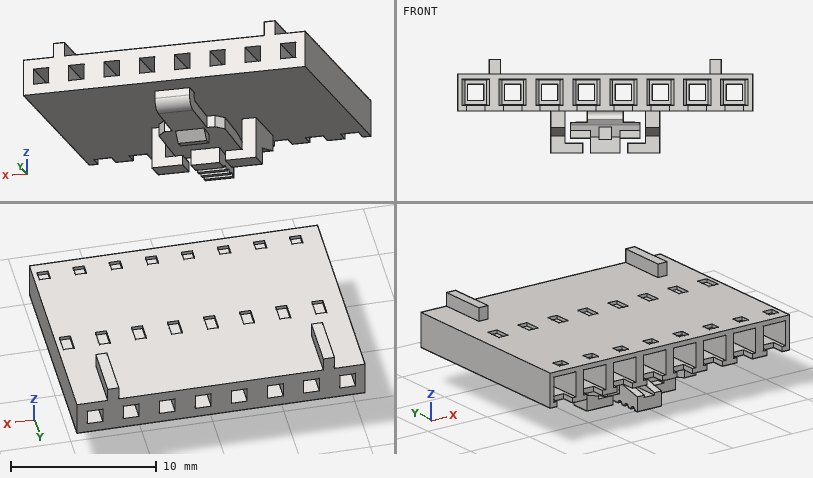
import cadquery as cq
import math

body_width = 20.29
body_length = 15.24
body_height = 2.57

contact_count = 8
pitch = 2.54
contact_row_shift = -0.02
cavity_width = 1.87
cavity_floor = 0.38
cavity_roof = 2.21
cavity_depth = 10.0
taper_depth = 0.22
taper_side = 0.2
taper_height = 0.07
pin_hole_size = 1.1
floor_slot_width = 1.28
floor_slot_depth = 1.02

window_width = 0.77
window_offset = 0.53
window_depth = 0.25
front_window_start = 0.83
rear_window_start = 7.94
rear_window_length = 1.32

rib_width = 0.78
rib_length = 3.82
rib_height = 0.99
rib_spacing = 15.18

leg_drop = 2.89
leg_outer = 3.75
leg_width = 0.99
leg_front = 2.13
leg_back = 6.09
foot_front = 4.56
foot_inner = 1.54
foot_height = 0.69
leg_lip_height = 1.11
leg_undercut_top = 1.72

stem_back = 13.4
stem_front = 12.36
beam_slope = math.radians(3.5)
beam_thickness = 0.82
beam_width = 2.5
inner_bend_radius = 0.37
inner_bend_drop = 0.22
outer_bend_radius = 0.85
ramp_start = 6.1
ramp_slope = math.radians(12.8)
paddle_width = 4.78
paddle_back = 9.4
paddle_front = 4.5
paddle_chamfer = 0.57

grip_width = 2.05
grip_front = 2.42
grip_back = 5.8
groove_radius = 0.22
groove_pitch = 0.755
groove_count = 3
first_groove = 2.95
notch_width = 0.85
notch_back = 5.45
notch_floor = 1.96

catch_drop = 2.27
catch_back = 9.35
catch_tip_back = 8.72
catch_front = 8.18


def box(x_range, y_range, z_range):
    """Box between two limits on each axis."""
    size = [high - low for low, high in (x_range, y_range, z_range)]
    return cq.Workplane("XY").box(*size, centered=False).translate((x_range[0], y_range[0], z_range[0]))


def centred_box(width, y_range, z_range, x_centre=0.0):
    """Box of the given width about an X position."""
    return box((x_centre - width / 2, x_centre + width / 2), y_range, z_range)


def side_profile(points, width):
    """Closed (Y, Z) outline extruded symmetrically about X = 0."""
    return cq.Workplane("YZ").polyline(points).close().extrude(width / 2, both=True)


def contact_cavity(x):
    """Front cavity with a tapered end, a rear pin hole and a slot in its floor."""
    middle = (cavity_floor + cavity_roof) / 2
    height = cavity_roof - cavity_floor
    cavity = centred_box(cavity_width, (0, cavity_depth), (cavity_floor, cavity_roof), x)
    taper = (
        cq.Workplane("XZ", origin=(x, cavity_depth, middle))
        .rect(cavity_width, height)
        .workplane(offset=-taper_depth)
        .rect(cavity_width - 2 * taper_side, height - 2 * taper_height)
        .loft()
    )
    half_hole = pin_hole_size / 2
    pin_hole = centred_box(
        pin_hole_size, (cavity_depth, body_length), (middle - half_hole, middle + half_hole), x
    )
    floor_slot = centred_box(floor_slot_width, (0, floor_slot_depth), (0, middle), x)
    return cavity.union(taper).union(pin_hole).union(floor_slot)


def top_windows(x):
    """Front and rear window pockets belonging to one contact."""
    z_range = (body_height - window_depth, body_height)
    centre = x + window_offset
    front_end = front_window_start + window_width
    rear_end = rear_window_start + rear_window_length
    front = centred_box(window_width, (front_window_start, front_end), z_range, centre)
    rear = centred_box(window_width, (rear_window_start, rear_end), z_range, centre)
    return front.union(rear)


def housing():
    """Body with all contact openings and the two polarising ribs."""
    body = centred_box(body_width, (0, body_length), (0, body_height))
    for index in range(contact_count):
        x = (index - (contact_count - 1) / 2) * pitch + contact_row_shift
        body = body.cut(contact_cavity(x)).cut(top_windows(x))
    for side in (-1, 1):
        rib = centred_box(
            rib_width,
            (body_length - rib_length, body_length),
            (body_height, body_height + rib_height),
            side * rib_spacing / 2,
        )
        body = body.union(rib)
    return body


def left_leg():
    """Guide leg with an undercut front lip and a foot turned inwards."""
    outline = [
        (leg_front, 0),
        (leg_front, -leg_lip_height),
        (foot_front, -leg_undercut_top),
        (foot_front, -leg_drop),
        (leg_back, -leg_drop),
        (leg_back, 0),
    ]
    leg_centre = -leg_outer + leg_width / 2
    leg = side_profile(outline, leg_width).translate((leg_centre, 0, 0))
    foot = box((-leg_outer, -foot_inner), (foot_front, leg_back), (-leg_drop, foot_height - leg_drop))
    return leg.union(foot)


bend_y = stem_front - inner_bend_radius
bend_z = -inner_bend_drop
bend_end_y = bend_y + inner_bend_radius * math.sin(beam_slope)
bend_end_z = bend_z - inner_bend_radius * math.cos(beam_slope)


def beam_top(y):
    """Height of the upper beam face, which bends down steeper near its free end."""
    if y >= ramp_start:
        return bend_end_z - (bend_end_y - y) * math.tan(beam_slope)
    return beam_top(ramp_start) - (ramp_start - y) * math.tan(ramp_slope)


def beam_bottom(y):
    """Height of the straight lower beam face."""
    return bend_end_z - (bend_end_y - y) * math.tan(beam_slope) - beam_thickness / math.cos(beam_slope)


def latch_beam():
    """Curved stem and sloping beam, up to the front of the paddle."""
    inner_start_y = bend_y + math.sqrt(inner_bend_radius**2 - inner_bend_drop**2)
    beam = (
        cq.Workplane("YZ")
        .moveTo(stem_back, 0)
        .lineTo(inner_start_y, 0)
        .threePointArc((stem_front, bend_z), (bend_end_y, bend_end_z))
        .lineTo(ramp_start, beam_top(ramp_start))
        .lineTo(paddle_front, beam_top(paddle_front))
        .lineTo(paddle_front, beam_bottom(paddle_front))
        .lineTo(stem_back, beam_bottom(stem_back))
        .close()
        .extrude(beam_width / 2, both=True)
    )
    corner = cq.selectors.NearestToPointSelector((0, stem_back, beam_bottom(stem_back)))
    return beam.edges("|X").edges(corner).fillet(outer_bend_radius)


def paddle():
    """Widened end of the beam with bevelled rear corners."""
    outline = [
        (paddle_back, beam_top(paddle_back)),
        (ramp_start, beam_top(ramp_start)),
        (paddle_front, beam_top(paddle_front)),
        (paddle_front, beam_bottom(paddle_front)),
        (paddle_back, beam_bottom(paddle_back)),
    ]
    half = paddle_width / 2
    plan = (
        cq.Workplane("XY")
        .polyline([
            (-half, paddle_front),
            (half, paddle_front),
            (half, paddle_back - paddle_chamfer),
            (half - paddle_chamfer, paddle_back),
            (paddle_chamfer - half, paddle_back),
            (-half, paddle_back - paddle_chamfer),
        ])
        .close()
        .extrude(-leg_drop)
    )
    return side_profile(outline, paddle_width).intersect(plan)


def thumb_grip():
    """Grip block with a ramped top, a notch and finger grooves underneath."""
    grip = side_profile(
        [
            (grip_front, beam_top(grip_front)),
            (grip_back, beam_top(grip_back)),
            (grip_back, -leg_drop),
            (grip_front, -leg_drop),
        ],
        grip_width,
    )
    for index in range(groove_count):
        groove_y = first_groove + index * groove_pitch
        groove = (
            cq.Workplane("YZ", origin=(0, groove_y, -leg_drop))
            .circle(groove_radius)
            .extrude(grip_width, both=True)
        )
        grip = grip.cut(groove)
    return grip


def catch_tooth():
    """Wedge under the beam, sloped at the back and upright at the front."""
    outline = [
        (catch_back, beam_top(catch_back)),
        (catch_back, beam_bottom(catch_back)),
        (catch_tip_back, -catch_drop),
        (catch_front, -catch_drop),
        (catch_front, beam_top(catch_front)),
    ]
    return side_profile(outline, grip_width)


def latch():
    """Complete spring latch."""
    notch = centred_box(notch_width, (grip_front, notch_back), (-notch_floor, 0))
    return latch_beam().union(paddle()).union(thumb_grip()).union(catch_tooth()).cut(notch)


leg = left_leg()
result = housing().union(leg).union(leg.mirror("YZ")).union(latch())